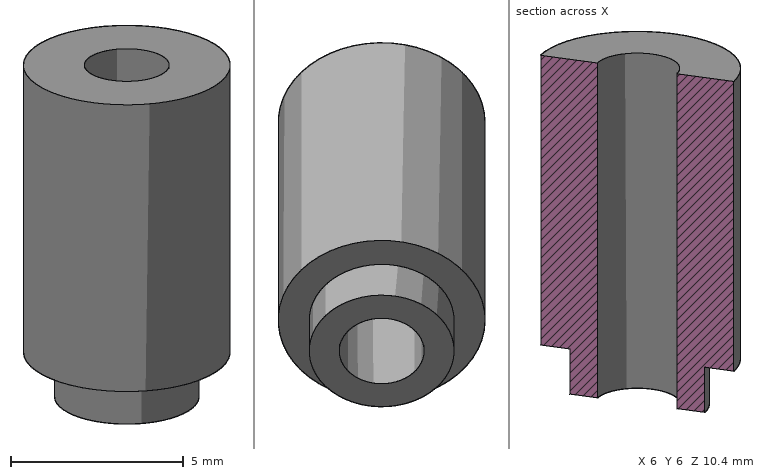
import cadquery as cq

body_diameter = 6.0
body_height = 9.0
spigot_diameter = 4.2
spigot_height = 1.4
bore_diameter = 2.46

total_height = body_height + spigot_height


def cylinder(diameter, height, base_z):
    """Upright cylinder on the Z axis, standing on base_z."""
    return cq.Workplane("XY").workplane(offset=base_z).circle(diameter / 2).extrude(height)


body = cylinder(body_diameter, body_height, 0)
spigot = cylinder(spigot_diameter, spigot_height, -spigot_height)

bore = cylinder(bore_diameter, total_height, -spigot_height)

result = body.union(spigot).cut(bore)